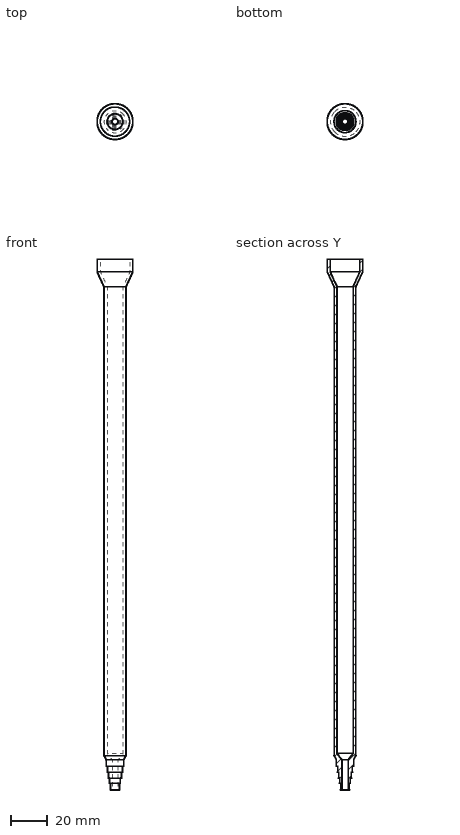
import cadquery as cq

total_length = 289.0

cup_diameter = 19.6
cup_bore_diameter = 15.9
cup_rim_height = 7.0
cup_taper_height = 8.2
cup_bore_depth = 7.0
funnel_height = 8.0

tube_diameter = 12.0
tube_bore_diameter = 8.5

tip_steps = [(5.0, 3.7), (6.0, 2.8), (7.3, 3.2), (8.3, 3.3), (9.6, 3.5)]
tip_chamfer = 0.3
shoulder_height = 2.3
tip_bore_diameter = 3.12
bore_taper_height = 3.5

tip_length = sum(length for _, length in tip_steps)
tube_bottom = tip_length + shoulder_height
cup_bottom = total_length - cup_rim_height
tube_top = cup_bottom - cup_taper_height
cup_floor = total_length - cup_bore_depth
bore_top = cup_floor - funnel_height


def revolve_profile(points):
    """Revolve (diameter, height) points, closed along the axis, about Z."""
    bottom = points[0][1]
    top = points[-1][1]
    outline = [(0, bottom)]
    outline += [(diameter / 2, height) for diameter, height in points]
    outline.append((0, top))
    return cq.Workplane("XZ").polyline(outline).close().revolve(360, (0, 0), (0, 1))


def outer_body():
    """Stepped tip, shoulder, tube and flared cup as one solid of revolution."""
    end_diameter = tip_steps[0][0]
    points = [(end_diameter - 2 * tip_chamfer, 0)]
    step_bottom = tip_chamfer
    step_top = 0
    for diameter, length in tip_steps:
        step_top += length
        points += [(diameter, step_bottom), (diameter, step_top)]
        step_bottom = step_top
    points += [
        (tube_diameter, tube_bottom),
        (tube_diameter, tube_top),
        (cup_diameter, cup_bottom),
        (cup_diameter, total_length),
    ]
    return revolve_profile(points)


def through_bore():
    """Passage that narrows from the cup, through the tube, to the tip."""
    return revolve_profile([
        (tip_bore_diameter, 0),
        (tip_bore_diameter, tip_length),
        (tube_bore_diameter, tip_length + bore_taper_height),
        (tube_bore_diameter, bore_top),
        (cup_bore_diameter, cup_floor),
        (cup_bore_diameter, total_length),
    ])


result = outer_body().cut(through_bore())